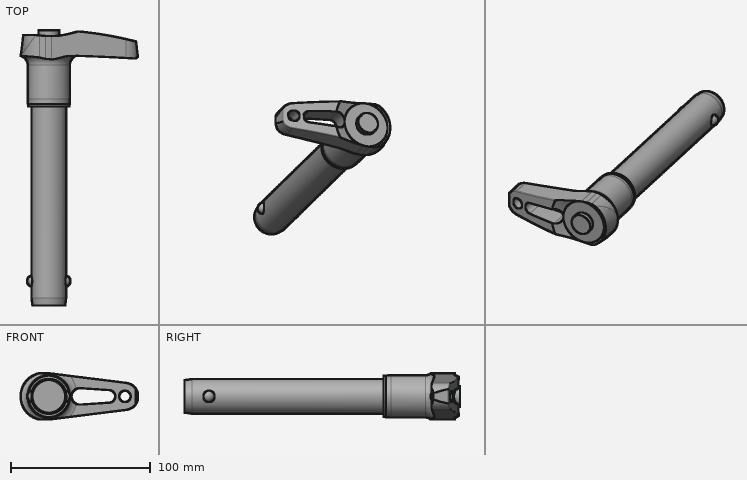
import cadquery as cq
import math


shank_radius = 12.5
shank_length = 142.1
nose_taper_length = 5.4
nose_radius = 11.75
ball_radius = 4.15
ball_reach = 15.6
ball_from_end = 17.5

collar_radius = 15.15
rim_radius = 14.8
rim_length = 1.8
collar_taper_length = 3.6
collar_taper_end_radius = 15.05

flare_fillet = 6.5
arm_underside = 36.4
flare_start = arm_underside - flare_fillet
dish_floor = 50.5
button_top = 54.7
button_radius = 7.5

hub_half_width = 16.65
hub_left = -20.2
hub_flat_start = -6.5
hub_flat_end = -2.4
crest_radius = 34.6
tip_x = 54.1
tip_radius = 9.8

slot_wide_x = 22.1
slot_wide_radius = 5.8
slot_narrow_x = 43.0
slot_narrow_radius = 4.4
lanyard_hole_x = 54.4
lanyard_hole_radius = 4.0

back_crest = (14.0, 54.45)
back_middle = (38.5, 51.65)
tip_top = (62.4, 46.6)
tip_bottom = (63.7, 35.7)
tip_bevel_end = (61.9, 34.3)
underside_arch_start_x = 15.0
underside_arch_middle = (40.0, 35.5)
back_edge_fillet = 0.5
dish_floor_radius = 16.4
dish_angle = 21.0
hub_draft_angle = 7.0

clearance = 80.0


def revolve_about_pin(profile):
    return profile.close().revolve(360, (0, 0, 0), (0, 1, 0))


def tangent_points(center_a, radius_a, center_b, radius_b):
    """Touch points of the upper outer tangent of two circles, a left of b."""
    dx = center_b[0] - center_a[0]
    dy = center_b[1] - center_a[1]
    normal = math.atan2(dy, dx) + math.acos((radius_a - radius_b) / math.hypot(dx, dy))
    circles = ((center_a, radius_a), (center_b, radius_b))
    return [(c[0] + r * math.cos(normal), c[1] + r * math.sin(normal)) for c, r in circles]


def mirrored(point):
    return (point[0], -point[1])


def make_pin():
    nose_start = nose_taper_length - shank_length
    taper_start = rim_length + collar_taper_length
    profile = (
        cq.Workplane("XY")
        .moveTo(0, -shank_length)
        .lineTo(nose_radius, -shank_length)
        .lineTo(shank_radius, nose_start)
        .lineTo(shank_radius, 0)
        .lineTo(rim_radius, 0)
        .lineTo(rim_radius, rim_length)
        .lineTo(collar_taper_end_radius, rim_length)
        .lineTo(collar_radius, taper_start)
        .lineTo(collar_radius, arm_underside)
        .lineTo(button_radius, arm_underside)
        .lineTo(button_radius, button_top)
        .lineTo(0, button_top)
    )
    return revolve_about_pin(profile)


def make_balls():
    ball_x = ball_reach - ball_radius
    ball_y = ball_from_end - shank_length
    return cq.Workplane("XY").pushPoints([(-ball_x, ball_y), (ball_x, ball_y)]).sphere(ball_radius)


def handle_outline():
    """Teardrop outline of the handle, as a prism along the pin axis."""
    flat_start = (hub_flat_start, hub_half_width)
    flat_end = (hub_flat_end, hub_half_width)
    crest_center = (hub_flat_end, hub_half_width - crest_radius)
    side_start, side_end = tangent_points(crest_center, crest_radius, (tip_x, 0), tip_radius)
    crest_angle = math.atan2(side_start[1] - crest_center[1], side_start[0] - crest_center[0])
    middle_angle = (crest_angle + math.pi / 2) / 2
    crest_middle = (
        crest_center[0] + crest_radius * math.cos(middle_angle),
        crest_center[1] + crest_radius * math.sin(middle_angle),
    )
    return (
        cq.Workplane("XZ")
        .moveTo(*mirrored(flat_start))
        .threePointArc((hub_left, 0), flat_start)
        .lineTo(*flat_end)
        .threePointArc(crest_middle, side_start)
        .lineTo(*side_end)
        .threePointArc((tip_x + tip_radius, 0), mirrored(side_end))
        .lineTo(*mirrored(side_start))
        .threePointArc(mirrored(crest_middle), mirrored(flat_end))
        .close()
        .extrude(-clearance)
    )


def side_profile():
    """Lever shape of the handle seen along Z, before the revolved cuts."""
    return (
        cq.Workplane("XY")
        .moveTo(hub_left, arm_underside)
        .lineTo(underside_arch_start_x, arm_underside)
        .threePointArc(underside_arch_middle, tip_bevel_end)
        .lineTo(*tip_bottom)
        .lineTo(*tip_top)
        .threePointArc(back_middle, back_crest)
        .lineTo(hub_left, back_crest[1])
        .close()
        .extrude(clearance, both=True)
    )


def flare():
    """Concave blend that widens the collar into the handle underside."""
    flare_radius = collar_radius + flare_fillet
    bend = flare_fillet * math.sqrt(0.5)
    profile = (
        cq.Workplane("XY")
        .moveTo(0, flare_start)
        .lineTo(collar_radius, flare_start)
        .threePointArc((flare_radius - bend, flare_start + bend), (flare_radius, arm_underside))
        .lineTo(0, arm_underside)
    )
    return revolve_about_pin(profile)


def dish():
    """Shallow conical recess with a flat floor around the button."""
    rim = clearance / 2
    rise = (rim - dish_floor_radius) * math.tan(math.radians(dish_angle))
    profile = (
        cq.Workplane("XY")
        .moveTo(0, dish_floor)
        .lineTo(dish_floor_radius, dish_floor)
        .lineTo(rim, dish_floor + rise)
        .lineTo(0, dish_floor + rise)
    )
    return revolve_about_pin(profile)


def hub_draft():
    """Half ring that leaves the rounded hub end conical about the pin axis."""
    shrink = (clearance - arm_underside) * math.tan(math.radians(hub_draft_angle))
    profile = (
        cq.Workplane("XY")
        .moveTo(hub_left, arm_underside)
        .lineTo(hub_left + shrink, clearance)
        .lineTo(-clearance, clearance)
        .lineTo(-clearance, arm_underside)
        .close()
    )
    quarter = profile.revolve(90, (0, 0, 0), (0, 1, 0))
    return quarter.union(quarter.mirror("XY"))


def arm_openings():
    upper_wide, upper_narrow = tangent_points(
        (slot_wide_x, 0), slot_wide_radius, (slot_narrow_x, 0), slot_narrow_radius
    )
    slot = (
        cq.Workplane("XZ")
        .moveTo(*upper_wide)
        .lineTo(*upper_narrow)
        .threePointArc((slot_narrow_x + slot_narrow_radius, 0), mirrored(upper_narrow))
        .lineTo(*mirrored(upper_wide))
        .threePointArc((slot_wide_x - slot_wide_radius, 0), upper_wide)
        .close()
        .extrude(-clearance)
    )
    hole = (
        cq.Workplane("XZ")
        .center(lanyard_hole_x, 0)
        .circle(lanyard_hole_radius)
        .extrude(-clearance)
    )
    return slot.union(hole)


def make_handle():
    lever = side_profile().cut(dish()).cut(hub_draft())
    handle = lever.union(flare()).intersect(handle_outline())
    back_face = handle.faces(cq.NearestToPointSelector((*back_middle, 0)))
    handle = back_face.edges("not <X").fillet(back_edge_fillet)
    return handle.cut(arm_openings())


result = make_pin().union(make_balls()).union(make_handle())